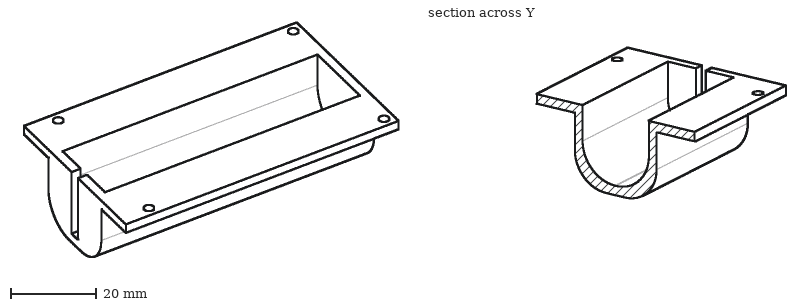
import cadquery as cq

LENGTH = 75.45
PLATE_WIDTH = 45.0
PLATE_THICKNESS = 2.5
TROUGH_DEPTH = 20.7
CAVITY_WIDTH = 18.7
CAVITY_RADIUS = 9.2
SIDE_WALL = 2.35
END_WALL = 2.5
FLOOR = 2.5
OUTER_RADIUS = 9.0
SLOT_WIDTH = 2.8
HOLE_DIAMETER = 2.5
HOLE_INSET = 2.5
HOLE_SPACING_Y = 65.0

TROUGH_WIDTH = CAVITY_WIDTH + 2 * SIDE_WALL
CAVITY_DEPTH = TROUGH_DEPTH - FLOOR
CAVITY_LENGTH = LENGTH - 2 * END_WALL
SLOT_LENGTH = 2 * END_WALL
HOLE_SPACING_X = PLATE_WIDTH - 2 * HOLE_INSET
HOLE_CENTER_Y = LENGTH - HOLE_INSET - HOLE_SPACING_Y / 2


def block(width, start_y, length, depth):
    """Box centred on X, hanging down from Z = 0, running in +Y from start_y."""
    box = cq.Workplane("XY").box(width, length, depth, centered=(True, False, False))
    return box.translate((0, start_y, -depth))


def rounded_trough(width, start_y, length, depth, radius):
    """Block whose two long bottom edges are rounded."""
    return block(width, start_y, length, depth).edges("|Y and <Z").fillet(radius)


def make_slot():
    """Open slot through the front wall, with the curved cavity floor carried through it."""
    passage = rounded_trough(CAVITY_WIDTH, 0, SLOT_LENGTH, CAVITY_DEPTH, CAVITY_RADIUS)
    return passage.intersect(block(SLOT_WIDTH, 0, SLOT_LENGTH, CAVITY_DEPTH))


def make_holes():
    """Four through holes in the plate on a rectangular pattern, set toward the back."""
    return (
        cq.Workplane("XY")
        .center(0, HOLE_CENTER_Y)
        .rect(HOLE_SPACING_X, HOLE_SPACING_Y, forConstruction=True)
        .vertices()
        .circle(HOLE_DIAMETER / 2)
        .extrude(-PLATE_THICKNESS)
    )


plate = block(PLATE_WIDTH, 0, LENGTH, PLATE_THICKNESS)
trough = rounded_trough(TROUGH_WIDTH, 0, LENGTH, TROUGH_DEPTH, OUTER_RADIUS)
cavity = rounded_trough(CAVITY_WIDTH, END_WALL, CAVITY_LENGTH, CAVITY_DEPTH, CAVITY_RADIUS)

body = trough.union(plate).clean()
result = body.cut(cavity).cut(make_slot()).cut(make_holes())